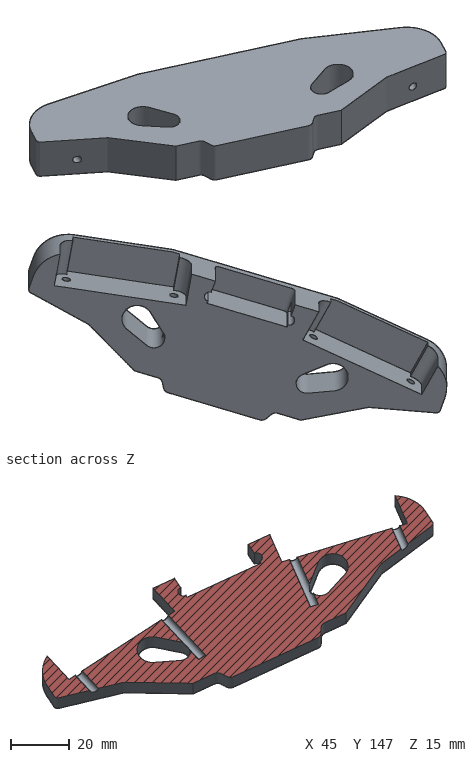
import cadquery as cq
import math

LENGTH = 147.0
DEPTH = 45.0
HEIGHT = 15.0
HALF = LENGTH / 2

FRONT_HALF = 29.4
FRONT_SLOPE = 0.155
END_X = 23.5
KINK = (29.0, 50.0)
SHOULDER_X = 40.7
SHOULDER_Y = 29.7
TONGUE_ROOT_Y = 20.1
TONGUE_ANGLE = 30.0
TIP_RADIUS = 12.3
END_RADIUS = 1.5
TONGUE_RADIUS = 2.2

SLOT_LARGE = (21.9, 35.0)
SLOT_LARGE_RADIUS = 5.1
SLOT_SMALL = (26.9, 27.3)
SLOT_SMALL_RADIUS = 3.7

RECESS_HALF = 14.3
RECESS_HEIGHT = 12.0
RECESS_DEPTH = 8.8
RECESS_RADIUS = 1.5
RELIEF_X = 6.2
RELIEF_RADIUS = 1.8

POCKET_CENTRE = 16.0
POCKET_HALF = 22.6
POCKET_SHOULDER = 10.3
POCKET_RADIUS = 3.5
NECK_HALF = 18.4
POCKET_TOP = 13.0
POCKET_DEPTH = 13.0
MOUTH_CLEARANCE = 7.3

HOLE_DIAMETER = 2.8
HOLE_Z = 6.3
HOLE_OFFSET = 18.5
HOLE_DEPTH = 20.6

SWEEP_ANGLE = math.degrees(math.atan(FRONT_SLOPE))


def body():
    """Plate outline extruded to full height, with its corners rounded."""
    tip = ((HALF - FRONT_HALF) * FRONT_SLOPE, HALF)
    end = (END_X, HALF)
    tongue_root = (SHOULDER_X, TONGUE_ROOT_Y)
    flank_rise = (DEPTH - SHOULDER_X) * math.tan(math.radians(TONGUE_ANGLE))
    tongue_tip = (DEPTH, TONGUE_ROOT_Y - flank_rise)
    upper = [(0, FRONT_HALF), tip, end, KINK, (SHOULDER_X, SHOULDER_Y), tongue_root, tongue_tip]
    lower = [(x, -y) for x, y in reversed(upper)]
    solid = cq.Workplane("XY").polyline(upper + lower).close().extrude(HEIGHT)
    rounded_corners = (
        (tip, TIP_RADIUS),
        (end, END_RADIUS),
        (tongue_root, TONGUE_RADIUS),
        (tongue_tip, TONGUE_RADIUS),
    )
    for (x, y), radius in rounded_corners:
        for side in (1, -1):
            edge = cq.selectors.NearestToPointSelector((x, side * y, HEIGHT / 2))
            solid = solid.edges("|Z").edges(edge).fillet(radius)
    return solid


def tapered_slot():
    """Hull of two circles joined by their outer tangents."""
    dx = SLOT_SMALL[0] - SLOT_LARGE[0]
    dy = SLOT_SMALL[1] - SLOT_LARGE[1]
    axis = math.atan2(dy, dx)
    spread = math.acos((SLOT_LARGE_RADIUS - SLOT_SMALL_RADIUS) / math.hypot(dx, dy))

    def on_circle(centre, radius, angle):
        return (centre[0] + radius * math.cos(angle), centre[1] + radius * math.sin(angle))

    return (
        cq.Workplane("XY")
        .moveTo(*on_circle(SLOT_LARGE, SLOT_LARGE_RADIUS, axis + spread))
        .threePointArc(
            on_circle(SLOT_LARGE, SLOT_LARGE_RADIUS, axis + math.pi),
            on_circle(SLOT_LARGE, SLOT_LARGE_RADIUS, axis - spread),
        )
        .lineTo(*on_circle(SLOT_SMALL, SLOT_SMALL_RADIUS, axis - spread))
        .threePointArc(
            on_circle(SLOT_SMALL, SLOT_SMALL_RADIUS, axis),
            on_circle(SLOT_SMALL, SLOT_SMALL_RADIUS, axis + spread),
        )
        .close()
        .extrude(HEIGHT)
    )


def centre_recess():
    """Round-topped recess in the front edge, with a relief in each side wall."""
    recess = (
        cq.Workplane("XY")
        .box(RECESS_DEPTH, 2 * RECESS_HALF, RECESS_HEIGHT, centered=(False, True, False))
        .edges("|X and >Z")
        .fillet(RECESS_RADIUS)
    )
    reliefs = (
        cq.Workplane("XY")
        .pushPoints([(RELIEF_X, RECESS_HALF), (RELIEF_X, -RECESS_HALF)])
        .circle(RELIEF_RADIUS)
        .extrude(RECESS_HEIGHT - RECESS_RADIUS)
    )
    return recess.union(reliefs)


def side_pocket():
    """Stepped pocket and its screw holes, swept to follow the +Y front edge."""
    length = POCKET_DEPTH + MOUTH_CLEARANCE
    start = cq.Workplane("XY").center(-MOUTH_CLEARANCE, POCKET_CENTRE)
    pocket = (
        start.box(length, 2 * POCKET_HALF, POCKET_SHOULDER, centered=(False, True, False))
        .edges("|X and >Z")
        .fillet(POCKET_RADIUS)
    )
    neck = start.box(length, 2 * NECK_HALF, POCKET_TOP, centered=(False, True, False))
    holes = (
        cq.Workplane("YZ", origin=(POCKET_DEPTH, POCKET_CENTRE, HOLE_Z))
        .pushPoints([(HOLE_OFFSET, 0), (-HOLE_OFFSET, 0)])
        .circle(HOLE_DIAMETER / 2)
        .extrude(HOLE_DEPTH)
    )
    return (
        pocket.union(neck)
        .union(holes)
        .rotate((0, 0, 0), (0, 0, 1), -SWEEP_ANGLE)
        .translate((0, FRONT_HALF, 0))
    )


result = body().cut(centre_recess())
for cutter in (tapered_slot(), side_pocket()):
    result = result.cut(cutter).cut(cutter.mirror("XZ"))